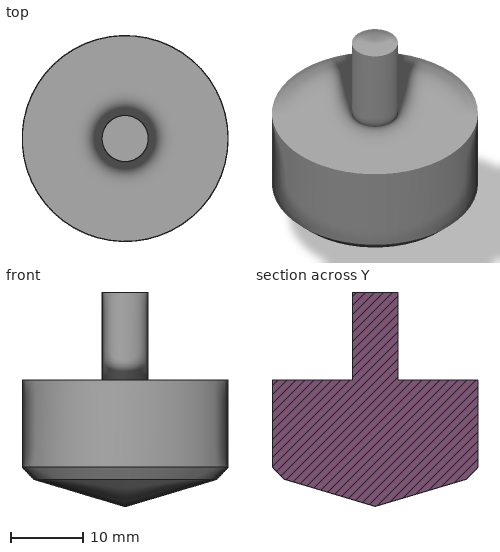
import cadquery as cq

total_height = 29.7
body_diameter = 28.57
pin_diameter = 6.4
pin_length = 12.12
body_length = 12.12
chamfer_height = 1.7
cone_diameter = 25.3

body_radius = body_diameter / 2
pin_radius = pin_diameter / 2
cone_radius = cone_diameter / 2
shoulder_z = total_height - pin_length
wall_bottom_z = shoulder_z - body_length
cone_top_z = wall_bottom_z - chamfer_height

profile = (
    cq.Workplane("XZ")
    .moveTo(0, 0)
    .lineTo(cone_radius, cone_top_z)
    .lineTo(body_radius, wall_bottom_z)
    .lineTo(body_radius, shoulder_z)
    .lineTo(pin_radius, shoulder_z)
    .lineTo(pin_radius, total_height)
    .lineTo(0, total_height)
    .close()
)

result = profile.revolve(360, (0, 0, 0), (0, 1, 0))